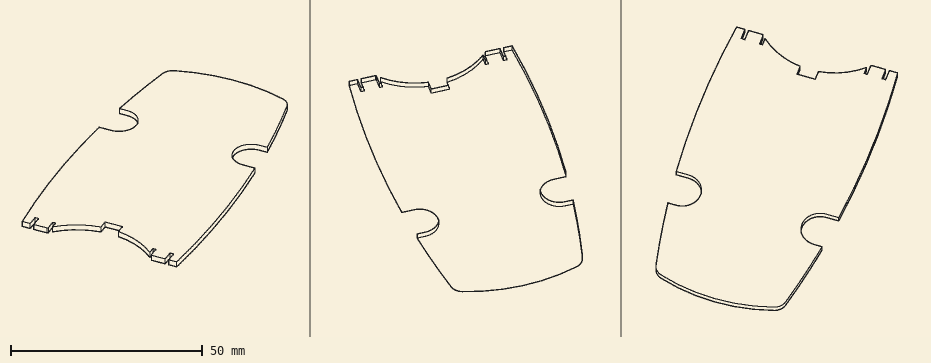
import cadquery as cq

length = 82.5
half_width = 23.45
thickness = 1.6

side_radius = 250.0
widest_y = 25.0
top_radius = 50.0
corner_radius = 3.5

cutout_y = 53.0
cutout_radius = 5.0
cutout_inner_x = 14.0

relief_radius = 20.7
relief_center_y = -14.25
notch_width = 5.0
notch_top_y = 8.85

slot_depth = 3.0
outer_slot_center_x = 19.4
outer_slot_width = 1.0
inner_slot_start_x = 14.0
inner_slot_width = 0.8


def box_between(x_min, x_max, y_min, y_max):
    """Block through the plate thickness spanning the given X and Y limits."""
    return (
        cq.Workplane("XY")
        .box(x_max - x_min, y_max - y_min, thickness, centered=False)
        .translate((x_min, y_min, 0))
    )


def disc(center_x, center_y, radius):
    """Round plate of full thickness."""
    return cq.Workplane("XY").center(center_x, center_y).circle(radius).extrude(thickness)


def make_plate():
    """Rectangle trimmed by large discs to bow its sides and crown its top edge."""
    blank = box_between(-half_width, half_width, 0, length)
    side_trim = disc(half_width - side_radius, widest_y, side_radius)
    top_trim = disc(0, length - top_radius, top_radius)
    outline = blank.intersect(side_trim).intersect(side_trim.mirror("YZ")).intersect(top_trim)
    return outline.edges("|Z").edges(">Y").fillet(corner_radius)


def make_side_cutout():
    """Cutout on the +X side: a semicircle opening straight out to the edge."""
    center_x = cutout_inner_x + cutout_radius
    round_end = disc(center_x, cutout_y, cutout_radius)
    mouth = box_between(center_x, half_width, cutout_y - cutout_radius, cutout_y + cutout_radius)
    return round_end.union(mouth)


def make_relief():
    """Circular arch plus the crown notch."""
    arch = disc(0, relief_center_y, relief_radius)
    notch = box_between(-notch_width / 2, notch_width / 2, 0, notch_top_y)
    return arch.union(notch)


def make_slots():
    """Outer and inner slots on the +X side."""
    outer_x = outer_slot_center_x - outer_slot_width / 2
    outer = box_between(outer_x, outer_x + outer_slot_width, 0, slot_depth)
    inner = box_between(inner_slot_start_x, inner_slot_start_x + inner_slot_width, 0, slot_depth)
    return outer.union(inner)


result = make_plate().cut(make_relief())
for side_cut in (make_side_cutout(), make_slots()):
    result = result.cut(side_cut).cut(side_cut.mirror("YZ"))